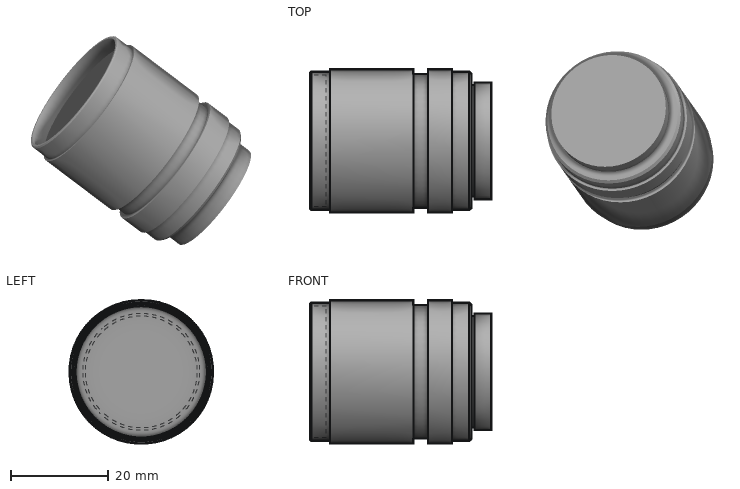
import cadquery as cq

length = 37.2
front_ring_end = 4.0
grip_end = 21.2
groove_end = 24.18
rear_ring_end = 29.15
rear_body_end = 33.2
neck_end = 33.75

grip_radius = 29.5 / 2
body_radius = 28.42 / 2
groove_radius = 27.53 / 2
neck_radius = 23.0 / 2
mount_radius = 24.03 / 2

front_chamfer = 0.25
rear_chamfer = 0.52
recess_radius = 27.0 / 2
recess_depth = 3.25

half_section = [
    (recess_depth, 0),
    (recess_depth, recess_radius),
    (0, recess_radius),
    (0, body_radius - front_chamfer),
    (front_chamfer, body_radius),
    (front_ring_end, body_radius),
    (front_ring_end, grip_radius),
    (grip_end, grip_radius),
    (grip_end, groove_radius),
    (groove_end, groove_radius),
    (groove_end, grip_radius),
    (rear_ring_end, grip_radius),
    (rear_ring_end, body_radius),
    (rear_body_end - rear_chamfer, body_radius),
    (rear_body_end, body_radius - rear_chamfer),
    (rear_body_end, neck_radius),
    (neck_end, neck_radius),
    (neck_end, mount_radius),
    (length, mount_radius),
    (length, 0),
]

result = cq.Workplane("XZ").polyline(half_section).close().revolve(360, (0, 0, 0), (1, 0, 0))